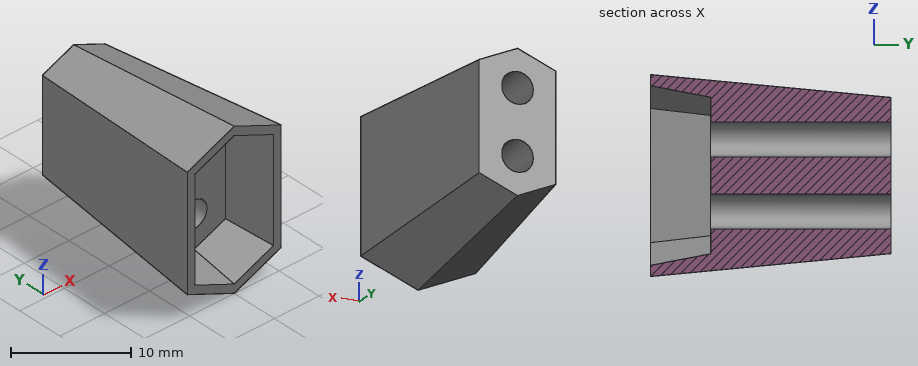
import math

import cadquery as cq

body_length = 20.0
body_draft = 5.0

hex_width = 7.0
hex_height = 13.0
hex_side_height = 10.0

pocket_depth = 5.0
pocket_draft = 10.0

hole_diameter = 2.88
hole_spacing = 6.0

back_y = body_length

slope_angle = math.atan2((hex_height - hex_side_height) / 2, hex_width / 2)


def hexagon_points(offset):
    """Corners of the elongated hexagon with every edge moved outward by offset."""
    half_width = hex_width / 2 + offset
    half_height = hex_height / 2 + offset / math.cos(slope_angle)
    half_side = half_height - half_width * math.tan(slope_angle)
    return [
        (half_width, -half_side),
        (half_width, half_side),
        (0, half_height),
        (-half_width, half_side),
        (-half_width, -half_side),
        (0, -half_height),
    ]


def flared_hexagon(length, draft):
    """Hexagonal solid that widens by the draft angle over length and ends at Y = 0."""
    offset = length * math.tan(math.radians(draft))
    return (
        cq.Workplane("XZ", origin=(0, length, 0))
        .polyline(hexagon_points(0))
        .close()
        .workplane(offset=length)
        .polyline(hexagon_points(offset))
        .close()
        .loft(ruled=True)
    )


def through_holes():
    """Pair of cylinders along Y, spaced evenly about the part's centre."""
    return (
        cq.Workplane("XZ", origin=(0, back_y, 0))
        .pushPoints([(0, -hole_spacing / 2), (0, hole_spacing / 2)])
        .circle(hole_diameter / 2)
        .extrude(body_length)
    )


body = flared_hexagon(body_length, body_draft)
pocket = flared_hexagon(pocket_depth, pocket_draft)
result = body.cut(pocket).cut(through_holes())